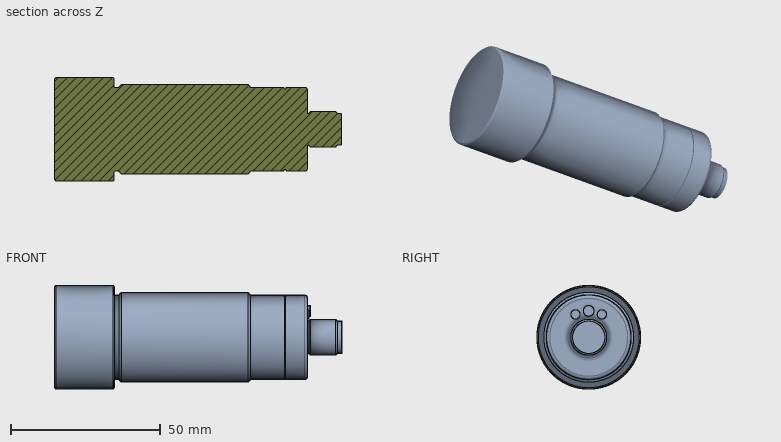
import cadquery as cq

HEAD_RADIUS = 17.35
BARREL_RADIUS = 15.0
NECK_RADIUS = 14.1
GROOVE_RADIUS = 13.6
PLUG_RADIUS = 6.0
PLUG_ROOT_RADIUS = 5.4

HEAD_LENGTH = 20.0
NECK_LENGTH = 1.5
BARREL_LENGTH = 43.9
COLLAR_LENGTH = 11.35
GROOVE_WIDTH = 0.45
CAP_LENGTH = 7.35
PLUG_ROOT_LENGTH = 0.35
PLUG_LENGTH = 9.6
TOTAL_LENGTH = 95.99

HEAD_CHAMFER = 0.5
BARREL_CHAMFER = 0.8
CAP_FILLET = 1.1
PLUG_CHAMFER = PLUG_RADIUS - PLUG_ROOT_RADIUS

BUTTON_ARC_RADIUS = 8.8
CENTRE_BUTTON_RADIUS = 1.8
CENTRE_BUTTON_HEIGHT = 0.85
SIDE_BUTTON_RADIUS = 1.55
SIDE_BUTTON_HEIGHT = 0.5
SIDE_BUTTON_ANGLE = 30

NECK_START = HEAD_LENGTH
BARREL_START = NECK_START + NECK_LENGTH
COLLAR_START = BARREL_START + BARREL_LENGTH
GROOVE_START = COLLAR_START + COLLAR_LENGTH
CAP_START = GROOVE_START + GROOVE_WIDTH
REAR_FACE = CAP_START + CAP_LENGTH
PLUG_START = REAR_FACE + PLUG_ROOT_LENGTH
PLUG_END = PLUG_START + PLUG_LENGTH


def rod(start, end, radius):
    """Cylinder on the X axis between two stations."""
    return cq.Workplane("YZ").workplane(offset=start).circle(radius).extrude(end - start)


def make_head():
    return rod(0, HEAD_LENGTH, HEAD_RADIUS).edges().chamfer(HEAD_CHAMFER)


def make_barrel():
    return rod(BARREL_START, COLLAR_START, BARREL_RADIUS).edges().chamfer(BARREL_CHAMFER)


def make_cap():
    return rod(CAP_START, REAR_FACE, NECK_RADIUS).edges(">X").fillet(CAP_FILLET)


def make_plug():
    thread = rod(PLUG_START, PLUG_END, PLUG_RADIUS).edges().chamfer(PLUG_CHAMFER)
    core = rod(REAR_FACE, TOTAL_LENGTH, PLUG_ROOT_RADIUS)
    return core.union(thread)


def make_button(angle, radius, height):
    """Button on the rear face, turned about X by an angle from straight up."""
    button = rod(REAR_FACE, REAR_FACE + height, radius).translate((0, 0, BUTTON_ARC_RADIUS))
    return button.rotate((0, 0, 0), (1, 0, 0), angle)


neck = rod(NECK_START, BARREL_START, NECK_RADIUS)
collar = rod(COLLAR_START, GROOVE_START, NECK_RADIUS)
groove_core = rod(GROOVE_START, CAP_START, GROOVE_RADIUS)

result = make_head()
for section in (neck, make_barrel(), collar, groove_core, make_cap(), make_plug()):
    result = result.union(section)

result = result.union(make_button(0, CENTRE_BUTTON_RADIUS, CENTRE_BUTTON_HEIGHT))
for side_angle in (-SIDE_BUTTON_ANGLE, SIDE_BUTTON_ANGLE):
    result = result.union(make_button(side_angle, SIDE_BUTTON_RADIUS, SIDE_BUTTON_HEIGHT))